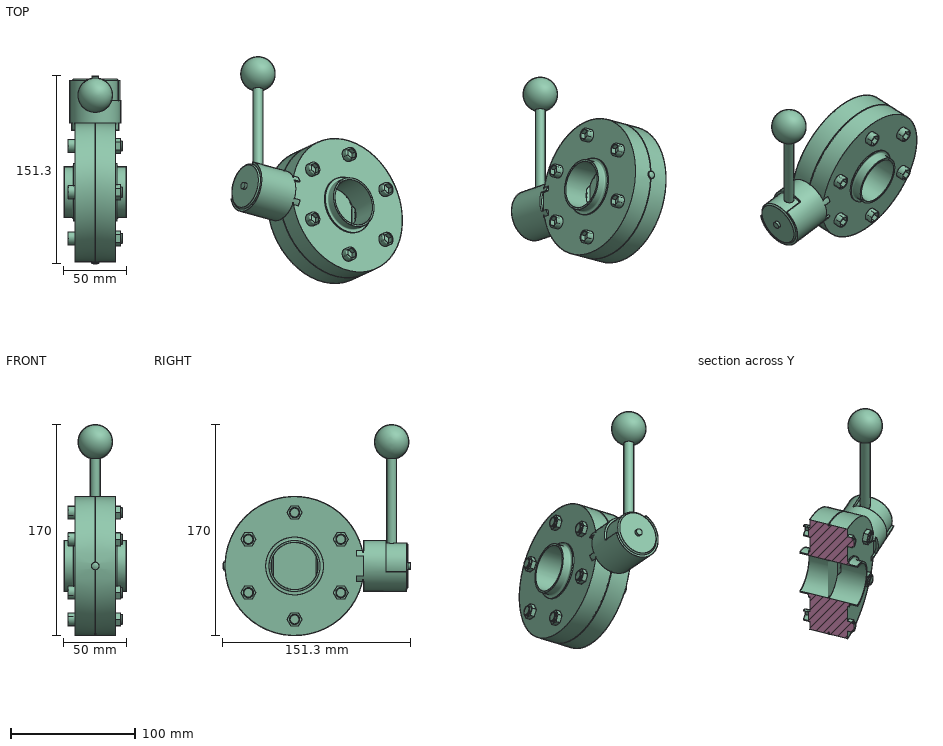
import cadquery as cq
import math


overall_height = 170.0

flange_radius = 56.1
flange_half_width = 16.5
boss_radius = 23.3
boss_face = flange_half_width + 1.2
pipe_radius = 20.5
pipe_end = 25.0
bore_radius = 19.0
pipe_root_fillet = 1.0
joint_width = 0.5
joint_depth = 1.7

screw_count = 6
screw_circle_radius = 43.0
first_screw_angle = 90.0
head_radius = 5.3
head_height = 5.6
head_fillet = 0.7
socket_across_flats = 7.5
socket_depth = 4.2
nut_across_flats = 10.5
nut_height = 3.9
thread_radius = 4.0
thread_projection = 1.7
thread_chamfer = 0.5

disc_half_thickness = 0.5
pad_foot = 17.2
pad_crest = 18.4

upper_stem_radius = 2.7
upper_stem_end = 93.5
lower_stem_radius = 3.0
lower_stem_shoulder = 57.1
lower_stem_end = 57.8
pad_half_thickness = lower_stem_radius

sleeve_radius = 20.5
sleeve_start = 55.6
sleeve_end = 90.1
prong_reach = 5.8
prong_bottom = 8.0
prong_top = 12.5
slot_start = 73.8
slot_low_angle = -13.4
slot_high_angle = 115.0

core_radius = 18.7
core_end = 91.3
core_chamfer = 1.2
rod_radius = 4.0
rod_position = 78.2
ball_radius = 14.0
ball_height = overall_height - flange_radius - ball_radius


def polar(radius, degrees):
    angle = math.radians(degrees)
    return radius * math.cos(angle), radius * math.sin(angle)


def cylinder_x(radius, start, end):
    return cq.Workplane("YZ", origin=(start, 0, 0)).circle(radius).extrude(end - start)


def cylinder_y(radius, start, end):
    return cq.Workplane("XZ", origin=(0, end, 0)).circle(radius).extrude(end - start)


def hexagon_x(across_flats, start, end):
    """Hexagonal prism along X with two of its corners on the Y axis."""
    across_corners = across_flats / math.cos(math.radians(30))
    return cq.Workplane("YZ", origin=(start, 0, 0)).polygon(6, across_corners).extrude(end - start)


def make_flange_half():
    """Flange, boss and pipe stub on the +X side, with a concave fillet at the pipe root."""
    arc_offset = pipe_root_fillet * (1 - math.sqrt(0.5))
    return (
        cq.Workplane("XY")
        .moveTo(0, bore_radius)
        .lineTo(pipe_end, bore_radius)
        .lineTo(pipe_end, pipe_radius)
        .lineTo(boss_face + pipe_root_fillet, pipe_radius)
        .threePointArc(
            (boss_face + arc_offset, pipe_radius + arc_offset),
            (boss_face, pipe_radius + pipe_root_fillet),
        )
        .lineTo(boss_face, boss_radius)
        .lineTo(flange_half_width, boss_radius)
        .lineTo(flange_half_width, flange_radius)
        .lineTo(0, flange_radius)
        .close()
        .revolve(360, (0, 0, 0), (1, 0, 0))
    )


def make_joint_groove():
    """Ring that cuts the narrow groove around the rim, midway between the flange faces."""
    return (
        cq.Workplane("YZ")
        .circle(flange_radius)
        .circle(flange_radius - joint_depth)
        .extrude(joint_width / 2, both=True)
    )


def make_screw_head():
    outer_face = -flange_half_width - head_height
    head = cylinder_x(head_radius, outer_face, -flange_half_width)
    head = head.faces("<X").edges().fillet(head_fillet)
    socket = hexagon_x(socket_across_flats, outer_face, outer_face + socket_depth)
    socket_corners_up = socket.rotate((0, 0, 0), (1, 0, 0), 90)
    return head.cut(socket_corners_up)


def make_nut():
    nut_face = flange_half_width + nut_height
    nut = hexagon_x(nut_across_flats, flange_half_width, nut_face)
    thread = cylinder_x(thread_radius, nut_face, nut_face + thread_projection)
    return nut.union(thread.faces(">X").chamfer(thread_chamfer))


def make_body():
    half = make_flange_half()
    body = half.union(half.mirror("YZ")).cut(make_joint_groove())

    head = make_screw_head()
    nut = make_nut()
    for i in range(screw_count):
        y, z = polar(screw_circle_radius, first_screw_angle + i * 360 / screw_count)
        body = body.union(head.translate((0, y, z))).union(nut.translate((0, y, z)))

    sleeve_seat = cylinder_y(sleeve_radius, sleeve_start, flange_radius)
    upper_stem_hole = cylinder_y(upper_stem_radius, 0, flange_radius)
    lower_stem_hole = cylinder_y(lower_stem_radius, -flange_radius, 0)
    return body.cut(sleeve_seat).cut(upper_stem_hole).cut(lower_stem_hole)


def make_pad():
    """Thickened edge of the disc around the +Y stem, sloping up from both disc faces."""
    return (
        cq.Workplane("XY")
        .moveTo(-disc_half_thickness, pad_foot)
        .lineTo(-pad_half_thickness, pad_crest)
        .lineTo(-pad_half_thickness, bore_radius)
        .lineTo(pad_half_thickness, bore_radius)
        .lineTo(pad_half_thickness, pad_crest)
        .lineTo(disc_half_thickness, pad_foot)
        .close()
        .extrude(bore_radius, both=True)
        .intersect(cylinder_x(bore_radius, -pad_half_thickness, pad_half_thickness))
    )


def make_lower_stem():
    """Stem toward -Y, ending in a shallow spherical dome."""
    dome_height = lower_stem_end - lower_stem_shoulder
    dome_radius = (lower_stem_radius**2 + dome_height**2) / (2 * dome_height)
    half_way = lower_stem_radius / 2
    half_way_drop = dome_radius - math.sqrt(dome_radius**2 - half_way**2)
    return (
        cq.Workplane("XY")
        .moveTo(0, -pad_crest)
        .lineTo(lower_stem_radius, -pad_crest)
        .lineTo(lower_stem_radius, -lower_stem_shoulder)
        .threePointArc((half_way, half_way_drop - lower_stem_end), (0, -lower_stem_end))
        .close()
        .revolve(360, (0, 0, 0), (0, 1, 0))
    )


def make_disc():
    plate = cylinder_x(bore_radius, -disc_half_thickness, disc_half_thickness)
    pad = make_pad()
    upper_stem = cylinder_y(upper_stem_radius, pad_crest, upper_stem_end)
    return plate.union(pad).union(pad.mirror("XZ")).union(upper_stem).union(make_lower_stem())


def make_prong_space():
    """Four blocks beside the flange faces that bound the prongs in X, Y and Z."""
    width = sleeve_radius - flange_half_width
    height = prong_top - prong_bottom
    x = flange_half_width + width / 2
    y = sleeve_start - prong_reach / 2
    z = prong_bottom + height / 2
    centers = [(side * x, y, level * z) for side in (-1, 1) for level in (-1, 1)]
    return cq.Workplane("XY").pushPoints(centers).box(width, prong_reach, height)


def make_slot():
    """Sector, open at the +Y end, in which the rod swings from +Z to +X."""
    reach = 2 * sleeve_radius
    middle_angle = (slot_low_angle + slot_high_angle) / 2
    return (
        cq.Workplane("XZ", origin=(0, sleeve_end, 0))
        .lineTo(*polar(reach, slot_low_angle))
        .lineTo(*polar(reach, middle_angle))
        .lineTo(*polar(reach, slot_high_angle))
        .close()
        .extrude(sleeve_end - slot_start)
    )


def make_sleeve():
    prong_end = sleeve_start - prong_reach
    barrel = cylinder_y(sleeve_radius, sleeve_start, sleeve_end)
    prongs = cylinder_y(sleeve_radius, prong_end, sleeve_start).intersect(make_prong_space())
    bore = cylinder_y(core_radius, prong_end, sleeve_end)
    return barrel.union(prongs).cut(bore).cut(make_slot())


def make_lever():
    core = cylinder_y(core_radius, sleeve_start, core_end).faces(">Y").chamfer(core_chamfer)
    rod = cq.Workplane("XY").center(0, rod_position).circle(rod_radius).extrude(ball_height)
    ball = cq.Workplane("XY").sphere(ball_radius).translate((0, rod_position, ball_height))
    stem_hole = cylinder_y(upper_stem_radius, sleeve_start, core_end)
    return core.union(rod).union(ball).cut(stem_hole)


body = make_body()
disc = make_disc()
sleeve = make_sleeve()
lever = make_lever()

result = cq.Compound.makeCompound([body.val(), disc.val(), sleeve.val(), lever.val()])